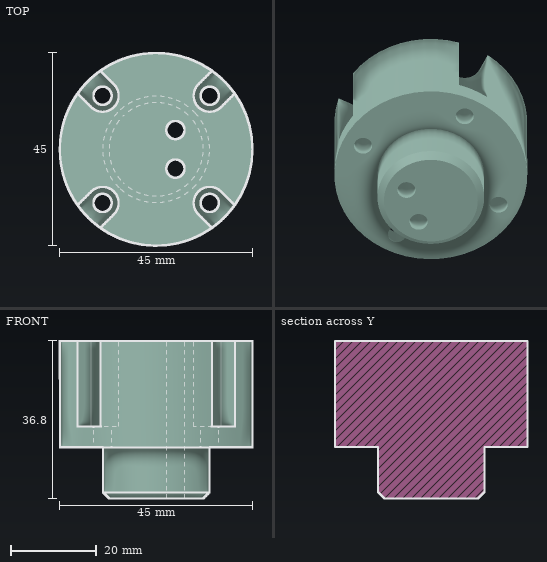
import cadquery as cq

body_diameter = 45.0
body_height = 24.8
spigot_diameter = 24.9
spigot_length = 12.0
spigot_chamfer = 1.5

bolt_spacing = 25.0
bolt_hole_diameter = 4.2
slot_width = 7.5
slot_depth = 20.0
slot_angles = (45, 135, 225, 315)

through_hole_diameter = 4.2
through_hole_x = 4.5
through_hole_spacing = 9.0

bolt_circle_radius = bolt_spacing / 2**0.5
slot_floor_z = body_height - slot_depth
total_height = body_height + spigot_length


def make_body():
    """Body disc with the chamfered spigot below it."""
    body = cq.Workplane("XY").circle(body_diameter / 2).extrude(body_height)
    spigot = (
        cq.Workplane("XY")
        .circle(spigot_diameter / 2)
        .extrude(-spigot_length)
        .faces("<Z")
        .chamfer(spigot_chamfer)
    )
    return body.union(spigot)


def make_bolt_slot(angle):
    """Cutter for one round-ended radial slot and the bolt hole in its floor."""
    slot_run = body_diameter / 2
    slot = (
        cq.Workplane("XY", origin=(0, 0, slot_floor_z))
        .center(bolt_circle_radius, 0)
        .circle(slot_width / 2)
        .extrude(slot_depth)
    )
    opening = (
        cq.Workplane("XY", origin=(0, 0, slot_floor_z))
        .center(bolt_circle_radius + slot_run / 2, 0)
        .rect(slot_run, slot_width)
        .extrude(slot_depth)
    )
    hole = (
        cq.Workplane("XY")
        .center(bolt_circle_radius, 0)
        .circle(bolt_hole_diameter / 2)
        .extrude(body_height)
    )
    return slot.union(opening).union(hole).rotate((0, 0, 0), (0, 0, 1), angle)


def make_through_holes():
    """Cutter for the two holes that run the full height of the part."""
    half_spacing = through_hole_spacing / 2
    return (
        cq.Workplane("XY", origin=(0, 0, -spigot_length))
        .pushPoints([(through_hole_x, -half_spacing), (through_hole_x, half_spacing)])
        .circle(through_hole_diameter / 2)
        .extrude(total_height)
    )


result = make_body()
for slot_angle in slot_angles:
    result = result.cut(make_bolt_slot(slot_angle))
result = result.cut(make_through_holes())